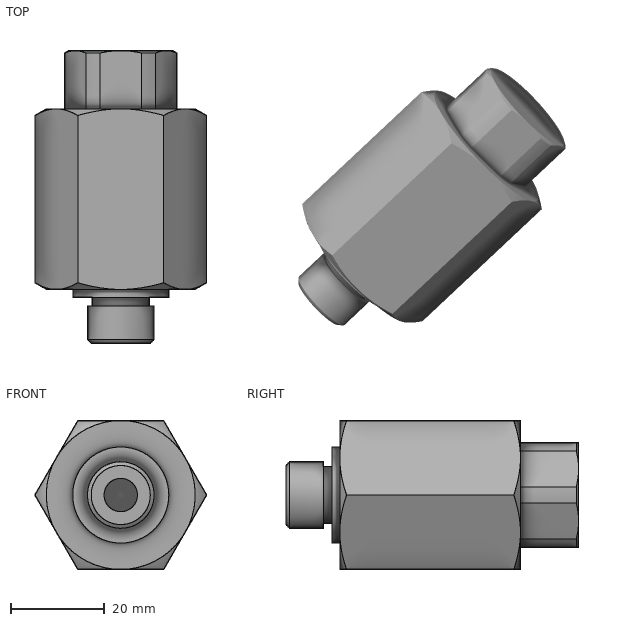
import cadquery as cq
import math


def corner_distance(across_flats):
    """Distance across opposite corners of a regular hexagon."""
    return across_flats / math.cos(math.pi / 6)


overall_length = 62.41
flange_length = 1.7
relief_length = 1.8
spigot_length = 8.0
rear_hex_length = 12.4
stub_length = flange_length + relief_length + spigot_length
body_length = overall_length - stub_length - rear_hex_length

body_across_flats = 31.75
body_across_corners = corner_distance(body_across_flats)

rear_across_flats = 22.3
rear_corner_diameter = 24.0

flange_diameter = 20.5
relief_diameter = 12.2
spigot_diameter = 14.2
spigot_chamfer = 0.8
bore_diameter = 7.1
bore_depth = stub_length

hex_chamfer_angle = math.radians(30)

body_rear_y = body_length
stub_front_y = -stub_length
spigot_rear_y = stub_front_y + spigot_length


def section_plane(y):
    """Plane across the axis at position y, with its normal along +Y."""
    plane = cq.Plane(origin=(0, y, 0), xDir=(1, 0, 0), normal=(0, 1, 0))
    return cq.Workplane(plane)


def cylinder(diameter, start_y, length):
    return section_plane(start_y).circle(diameter / 2).extrude(length)


def hexagon(across_flats, start_y, length):
    return section_plane(start_y).polygon(6, corner_distance(across_flats)).extrude(length)


def turned_envelope(face_diameter, outer_diameter, start_y, length, chamfer_front):
    """Cylinder with a conical rear end, and a conical front end when asked for."""
    face_radius = face_diameter / 2
    outer_radius = outer_diameter / 2
    end_y = start_y + length
    cone_length = (outer_radius - face_radius) * math.tan(hex_chamfer_angle)
    profile = cq.Workplane("XY").moveTo(0, start_y)
    if chamfer_front:
        profile = profile.lineTo(face_radius, start_y).lineTo(outer_radius, start_y + cone_length)
    else:
        profile = profile.lineTo(outer_radius, start_y)
    profile = profile.lineTo(outer_radius, end_y - cone_length)
    profile = profile.lineTo(face_radius, end_y).lineTo(0, end_y)
    return profile.close().revolve(360, (0, 0, 0), (0, 1, 0))


def make_body():
    envelope = turned_envelope(body_across_flats, body_across_corners, 0, body_length, True)
    return hexagon(body_across_flats, 0, body_length).intersect(envelope)


def make_rear_hex():
    envelope = turned_envelope(
        rear_across_flats, rear_corner_diameter, body_rear_y, rear_hex_length, False
    )
    return hexagon(rear_across_flats, body_rear_y, rear_hex_length).intersect(envelope)


def make_stub():
    flange = cylinder(flange_diameter, -flange_length, flange_length)
    relief = cylinder(relief_diameter, spigot_rear_y, relief_length)
    spigot = cylinder(spigot_diameter, stub_front_y, spigot_length)
    spigot = spigot.faces("<Y").chamfer(spigot_chamfer)
    return flange.union(relief).union(spigot)


bore = cylinder(bore_diameter, stub_front_y, bore_depth)

result = make_body().union(make_rear_hex()).union(make_stub()).cut(bore)